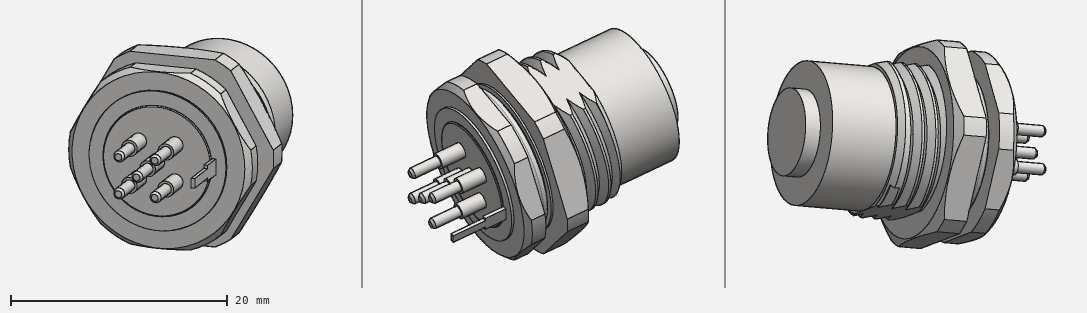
import cadquery as cq
import math


PIN_STEP = 3.03
TAB_STEP = 3.5
INSERT_FACE = 5.58
RIM_FACE = 5.75
FLANGE_FRONT = 6.0
FLANGE_BACK = 8.03
COLLAR_FRONT = 9.61
NUT_FRONT = 9.82
NUT_BACK = 12.67
THREAD_END = 17.52
SLEEVE_END = 24.0
TOTAL_LENGTH = 25.5

SLEEVE_RADIUS = 6.7
BOSS_RADIUS = 4.08
INSERT_RADIUS = 5.33
INSERT_CHAMFER = 0.1
COLLAR_RADIUS = 7.4

RING_OUTER_RADIUS = 7.4
RING_SECTION_RADIUS = 0.71

FLANGE_ACROSS_FLATS = 17.0
FLANGE_CORNER_RADIUS = 9.0
FLANGE_FACE_RADIUS = 8.47
NUT_ACROSS_FLATS = 18.0
NUT_CORNER_RADIUS = 9.92
NUT_FACE_RADIUS = 8.9
HEX_CHAMFER_HEIGHT = 0.55

THREAD_RADIUS = 7.6
THREAD_DEPTH = 0.7
THREAD_PITCH = 1.4
THREAD_FLANK_ANGLE = 40.0
THREAD_LEAD_IN = 0.55
THREAD_RUNOUT_ANGLE = 134.0
GROOVE_TOP = 17.08
GROOVE_TURNS = 4
GROOVE_OVERCUT = 0.25

PIN_SPACING = 3.57
PIN_BASE_RADIUS = 0.76
PIN_RADIUS = 0.54
PIN_TIP_RADIUS = 0.33
PIN_TIP_HEIGHT = 0.25

TAB_INNER = 5.35
TAB_THICKNESS = 0.35
TAB_WIDTH = 1.53
TAB_END_WIDTH = 0.92


def cylinder(radius, bottom, top):
    return cq.Workplane("XY", origin=(0, 0, bottom)).circle(radius).extrude(top - bottom)


def revolved(points):
    """Solid of revolution about Z from (radius, height) points."""
    return cq.Workplane("XZ").polyline(points).close().revolve(360, (0, 0, 0), (0, 1, 0))


def hexagon(across_flats, bottom, top):
    corner_diameter = across_flats / math.cos(math.radians(30))
    blank = cq.Workplane("XY", origin=(0, 0, bottom))
    return blank.polygon(6, corner_diameter).extrude(top - bottom)


def make_flange():
    envelope = revolved([
        (0, FLANGE_FRONT),
        (FLANGE_FACE_RADIUS, FLANGE_FRONT),
        (FLANGE_CORNER_RADIUS, FLANGE_FRONT + HEX_CHAMFER_HEIGHT),
        (FLANGE_CORNER_RADIUS, FLANGE_BACK),
        (0, FLANGE_BACK),
    ])
    return hexagon(FLANGE_ACROSS_FLATS, FLANGE_FRONT, FLANGE_BACK).intersect(envelope)


def make_nut():
    envelope = revolved([
        (0, NUT_FRONT),
        (NUT_CORNER_RADIUS, NUT_FRONT),
        (NUT_CORNER_RADIUS, NUT_BACK - HEX_CHAMFER_HEIGHT),
        (NUT_FACE_RADIUS, NUT_BACK),
        (0, NUT_BACK),
    ])
    return hexagon(NUT_ACROSS_FLATS, NUT_FRONT, NUT_BACK).intersect(envelope)


def make_thread_groove():
    """Right-handed V groove whose upper end is at GROOVE_TOP and the run-out angle."""
    root = THREAD_RADIUS - THREAD_DEPTH
    outer = THREAD_RADIUS + GROOVE_OVERCUT
    half_width = (outer - root) * math.tan(math.radians(THREAD_FLANK_ANGLE))
    height = GROOVE_TURNS * THREAD_PITCH
    helix = cq.Wire.makeHelix(THREAD_PITCH, height, root)
    profile = cq.Workplane("XZ").polyline([(root, 0), (outer, half_width), (outer, -half_width)]).close()
    groove = profile.sweep(cq.Workplane(helix), isFrenet=True)
    groove = groove.rotate((0, 0, 0), (0, 0, 1), THREAD_RUNOUT_ANGLE)
    return groove.translate((0, 0, GROOVE_TOP - height))


def make_thread():
    bottom = NUT_FRONT
    lead_in = revolved([
        (0, bottom),
        (THREAD_RADIUS, bottom),
        (THREAD_RADIUS, THREAD_END - THREAD_LEAD_IN),
        (THREAD_RADIUS - THREAD_LEAD_IN, THREAD_END),
        (0, THREAD_END),
    ])
    between_flats = cq.Workplane("XY", origin=(0, 0, bottom))
    between_flats = between_flats.rect(2 * THREAD_RADIUS, 2 * SLEEVE_RADIUS).extrude(THREAD_END - bottom)
    blank = cylinder(THREAD_RADIUS, bottom, THREAD_END)
    return blank.cut(make_thread_groove()).intersect(between_flats).intersect(lead_in)


def make_insert():
    face = cylinder(INSERT_RADIUS, INSERT_FACE, FLANGE_BACK)
    return face.faces("<Z").chamfer(INSERT_CHAMFER)


def make_ring():
    centre_radius = RING_OUTER_RADIUS - RING_SECTION_RADIUS
    height = (FLANGE_BACK + COLLAR_FRONT) / 2
    section = cq.Workplane("XZ").center(centre_radius, height).circle(RING_SECTION_RADIUS)
    return section.revolve(360, (-centre_radius, 0, 0), (-centre_radius, 1, 0))


def make_pin():
    return revolved([
        (0, 0),
        (PIN_TIP_RADIUS, 0),
        (PIN_RADIUS, PIN_TIP_HEIGHT),
        (PIN_RADIUS, PIN_STEP),
        (PIN_BASE_RADIUS, PIN_STEP),
        (PIN_BASE_RADIUS, FLANGE_FRONT),
        (0, FLANGE_FRONT),
    ])


def make_tab():
    outline = [
        (TAB_WIDTH / 2, FLANGE_FRONT),
        (TAB_WIDTH / 2, TAB_STEP),
        (TAB_END_WIDTH / 2, TAB_STEP),
        (TAB_END_WIDTH / 2, 0),
    ]
    mirrored = [(-y, z) for y, z in reversed(outline)]
    side = cq.Workplane("YZ", origin=(TAB_INNER, 0, 0))
    return side.polyline(outline + mirrored).close().extrude(TAB_THICKNESS)


body = cylinder(SLEEVE_RADIUS, RIM_FACE, SLEEVE_END)
body = body.union(cylinder(BOSS_RADIUS, SLEEVE_END, TOTAL_LENGTH))
body = body.union(make_thread())
body = body.union(make_nut())
body = body.union(cylinder(COLLAR_RADIUS, COLLAR_FRONT, NUT_FRONT))
body = body.union(make_ring())
body = body.union(make_flange())
body = body.union(make_insert())

half = PIN_SPACING / 2
for x, y in [(0, 0), (half, half), (half, -half), (-half, half), (-half, -half)]:
    body = body.union(make_pin().translate((x, y, 0)))
body = body.union(make_tab())

result = body.rotate((0, 0, 0), (1, 0, 0), -90)